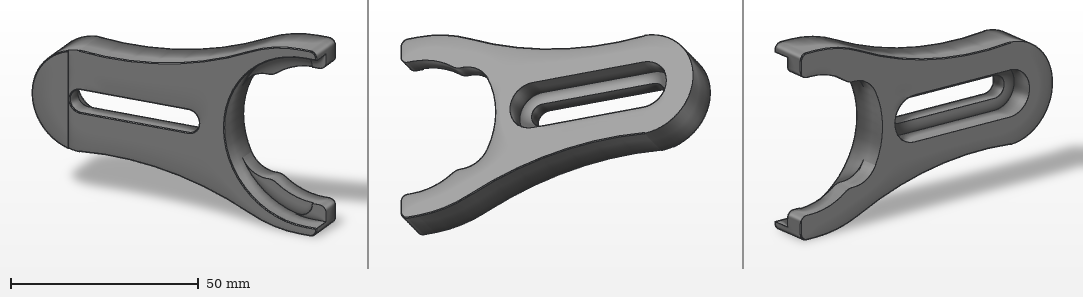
import cadquery as cq
import math

LENGTH = 84.7
ARM_SPAN = 53.0
ARM_HALF_SPAN = ARM_SPAN / 2
TOTAL_THICKNESS = 12.0
BOSS_RISE = 0.5
BODY_THICKNESS = TOTAL_THICKNESS - BOSS_RISE
BOSS_EDGE_X = 10.8
EDGE_CHAMFER = 0.25

END_RADIUS = 14.5
WAIST_RADIUS = 98.0
WAIST_START_X = 14.1
SHOULDER_RADIUS = 35.0
SHOULDER_X = 79.6
TIP_FILLET = 2.0

FORK_X = 81.2
FORK_RADIUS = 24.0

LEDGE_FRONT_Y = 5.7
LEDGE_RADIUS = 19.5
LEDGE_NOSE_RADIUS = 4.0
LEDGE_TIP_FILLET = 2.0
LEDGE_ROOT_RADIUS = 8.0
LEDGE_ROOT_ANGLE = 25.8
PAD_DEPTH = 0.5
PAD_RADIUS = 4.0
PAD_END_X = 76.6

SLOT_X0 = 14.4
SLOT_X1 = 46.4
SLOT_RADIUS = 3.25
CHANNEL_RADIUS = 6.65
CHANNEL_FRONT_Y = 4.8


def circle_point(center, radius, angle):
    """Point on a circle at an angle in degrees."""
    turn = math.radians(angle)
    return (center[0] + radius * math.cos(turn), center[1] + radius * math.sin(turn))


def direction(start, end):
    """Angle in degrees of the line from start to end."""
    return math.degrees(math.atan2(end[1] - start[1], end[0] - start[0]))


def triangle_angle(side_a, side_b, opposite):
    """Angle in degrees between two sides of a triangle."""
    cosine = (side_a**2 + side_b**2 - opposite**2) / (2 * side_a * side_b)
    return math.degrees(math.acos(cosine))


def front_sketch(y):
    """Workplane at depth y whose local axes are X and Z and whose normal is -Y."""
    return cq.Workplane(cq.Plane(origin=(0, y, 0), xDir=(1, 0, 0), normal=(0, -1, 0)))


def extrude_back(sketch, depth):
    """Extrude a front sketch toward +Y."""
    return sketch.extrude(-depth)


def mirrored(solid):
    """The solid together with its mirror image across Z = 0."""
    return solid.union(solid.mirror("XY"))


def keep_before(end_x, solid):
    """The part of a solid between X = 0 and end_x."""
    keep = cq.Workplane("XY").box(2 * end_x, 4 * BODY_THICKNESS, 4 * END_RADIUS)
    return solid.intersect(keep)


def round_end():
    """Square-edged round end that closes the plate before the waist."""
    disc = extrude_back(front_sketch(0).center(END_RADIUS, 0).circle(END_RADIUS), BODY_THICKNESS)
    return keep_before(WAIST_START_X, disc)


def boss():
    """Raised cap with a chamfered front rim over the outer part of the round end."""
    sketch = front_sketch(-BOSS_RISE).center(END_RADIUS, 0).circle(END_RADIUS)
    cap = extrude_back(sketch, BOSS_RISE)
    cap = cap.faces("<Y").chamfer(EDGE_CHAMFER)
    return keep_before(BOSS_EDGE_X, cap)


def arm_plate():
    """Plate from the waist to the arm tips, chamfered along its back outline."""
    end_center = (END_RADIUS, 0)
    shoulder_center = (SHOULDER_X, ARM_HALF_SPAN - SHOULDER_RADIUS)
    waist_start_angle = math.degrees(math.acos((WAIST_START_X - END_RADIUS) / END_RADIUS))
    waist_start = circle_point(end_center, END_RADIUS, waist_start_angle)

    center_distance = SHOULDER_RADIUS + WAIST_RADIUS
    start_distance = math.dist(shoulder_center, waist_start)
    shoulder_angle = direction(shoulder_center, waist_start)
    shoulder_angle -= triangle_angle(center_distance, start_distance, WAIST_RADIUS)
    waist_center = circle_point(shoulder_center, center_distance, shoulder_angle)
    waist_mid_angle = (direction(waist_center, waist_start) + shoulder_angle - 180) / 2
    waist_mid = circle_point(waist_center, WAIST_RADIUS, waist_mid_angle)
    waist_end = circle_point(shoulder_center, SHOULDER_RADIUS, shoulder_angle)
    shoulder_mid = circle_point(shoulder_center, SHOULDER_RADIUS, (shoulder_angle + 90) / 2)
    half = (
        front_sketch(0)
        .moveTo(WAIST_START_X, 0)
        .lineTo(*waist_start)
        .threePointArc(waist_mid, waist_end)
        .threePointArc(shoulder_mid, (SHOULDER_X, ARM_HALF_SPAN))
        .lineTo(LENGTH, ARM_HALF_SPAN)
        .lineTo(LENGTH, 0)
        .close()
    )
    plate = mirrored(extrude_back(half, BODY_THICKNESS))
    plate = plate.edges("|Y and >X").fillet(TIP_FILLET)
    return plate.faces(">Y").edges("not <X").chamfer(EDGE_CHAMFER)


def fork_cut():
    """Front part of the U-shaped opening, round toward the body and open at the arm tips."""
    sketch = (
        front_sketch(0)
        .moveTo(LENGTH, FORK_RADIUS)
        .lineTo(FORK_X, FORK_RADIUS)
        .threePointArc((FORK_X - FORK_RADIUS, 0), (FORK_X, -FORK_RADIUS))
        .lineTo(LENGTH, -FORK_RADIUS)
        .close()
    )
    return extrude_back(sketch, LEDGE_FRONT_Y)


def ledge_cut():
    """Through opening whose wavy sides leave a ledge on each arm."""
    fork_center = (FORK_X, 0)
    root_distance = FORK_RADIUS - LEDGE_ROOT_RADIUS
    nose_distance = LEDGE_RADIUS + LEDGE_NOSE_RADIUS
    root_angle = 180 - LEDGE_ROOT_ANGLE
    nose_angle = root_angle - triangle_angle(
        root_distance, nose_distance, LEDGE_ROOT_RADIUS + LEDGE_NOSE_RADIUS
    )
    root_center = circle_point(fork_center, root_distance, root_angle)
    nose_center = circle_point(fork_center, nose_distance, nose_angle)
    root_to_nose = direction(root_center, nose_center)

    root_start = circle_point(fork_center, FORK_RADIUS, root_angle)
    root_mid = circle_point(root_center, LEDGE_ROOT_RADIUS, (root_angle + root_to_nose) / 2)
    nose_start = circle_point(root_center, LEDGE_ROOT_RADIUS, root_to_nose)
    nose_mid_angle = (root_to_nose + nose_angle) / 2 + 180
    nose_mid = circle_point(nose_center, LEDGE_NOSE_RADIUS, nose_mid_angle)
    nose_end = circle_point(fork_center, LEDGE_RADIUS, nose_angle)
    ledge_mid = circle_point(fork_center, LEDGE_RADIUS, (nose_angle + 90) / 2)
    fork_mid = circle_point(fork_center, FORK_RADIUS, (root_angle + 180) / 2)
    tip_center = (LENGTH - LEDGE_TIP_FILLET, LEDGE_RADIUS + LEDGE_TIP_FILLET)
    tip_mid = circle_point(tip_center, LEDGE_TIP_FILLET, -45)
    half = (
        front_sketch(0)
        .moveTo(FORK_X - FORK_RADIUS, 0)
        .threePointArc(fork_mid, root_start)
        .threePointArc(root_mid, nose_start)
        .threePointArc(nose_mid, nose_end)
        .threePointArc(ledge_mid, (FORK_X, LEDGE_RADIUS))
        .lineTo(LENGTH - LEDGE_TIP_FILLET, LEDGE_RADIUS)
        .threePointArc(tip_mid, (LENGTH, LEDGE_RADIUS + LEDGE_TIP_FILLET))
        .lineTo(LENGTH, 0)
        .close()
    )
    return mirrored(extrude_back(half, BODY_THICKNESS))


def pad_cut():
    """Shallow round-ended recess in the front of both ledges, following the fork curve."""
    fork_center = (FORK_X, 0)
    path_radius = FORK_RADIUS - PAD_RADIUS
    inner_radius = path_radius - PAD_RADIUS
    end_angle = 90 + math.degrees(math.asin((FORK_X - PAD_END_X) / path_radius))
    end_center = circle_point(fork_center, path_radius, end_angle)
    half = (
        front_sketch(LEDGE_FRONT_Y)
        .moveTo(FORK_X - FORK_RADIUS, 0)
        .threePointArc(
            circle_point(fork_center, FORK_RADIUS, (end_angle + 180) / 2),
            circle_point(fork_center, FORK_RADIUS, end_angle),
        )
        .threePointArc(
            circle_point(end_center, PAD_RADIUS, end_angle - 90),
            circle_point(fork_center, inner_radius, end_angle),
        )
        .threePointArc(
            circle_point(fork_center, inner_radius, (end_angle + 180) / 2),
            (FORK_X - inner_radius, 0),
        )
        .close()
    )
    return mirrored(extrude_back(half, PAD_DEPTH))


def slot_cut(y, depth, radius):
    """Round-ended cutter along the slot."""
    straight = SLOT_X1 - SLOT_X0
    sketch = front_sketch(y).center(SLOT_X0 + straight / 2, 0)
    sketch = sketch.slot2D(straight + 2 * radius, 2 * radius)
    return extrude_back(sketch, depth)


arms = arm_plate().cut(fork_cut())
arms = arms.faces("<Y").edges("not <X").chamfer(EDGE_CHAMFER)
body = arms.union(round_end())

body = body.cut(slot_cut(0, BODY_THICKNESS, SLOT_RADIUS))
slot_rim = cq.selectors.BoxSelector(
    (SLOT_X0 - CHANNEL_RADIUS, -EDGE_CHAMFER, -CHANNEL_RADIUS),
    (SLOT_X1 + CHANNEL_RADIUS, EDGE_CHAMFER, CHANNEL_RADIUS),
)
body = body.edges(slot_rim).chamfer(EDGE_CHAMFER)
body = body.cut(slot_cut(CHANNEL_FRONT_Y, BODY_THICKNESS - CHANNEL_FRONT_Y, CHANNEL_RADIUS))

body = body.cut(ledge_cut()).cut(pad_cut())
result = body.union(boss())